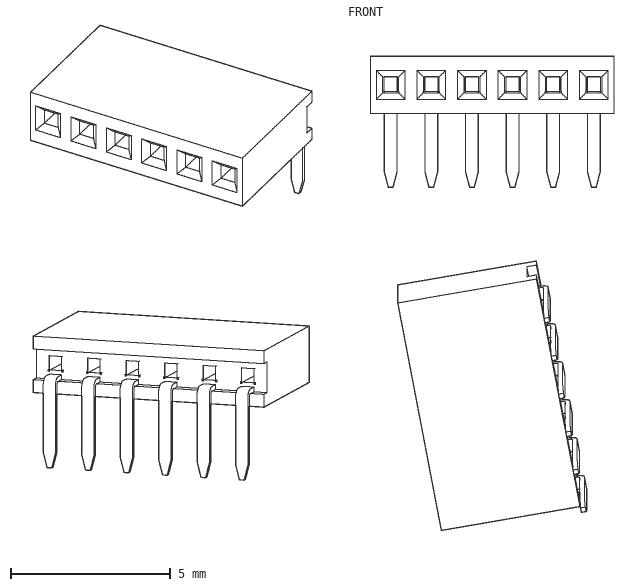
import cadquery as cq

CONTACT_COUNT = 6
LENGTH = 7.62
PITCH = LENGTH / CONTACT_COUNT
CONTACT_X = [(i - (CONTACT_COUNT - 1) / 2) * PITCH for i in range(CONTACT_COUNT)]

DEPTH = 4.405
HEIGHT = 1.8
NOTCH_DEPTH = 0.305
LEDGE_HEIGHT = 0.41
NOTCH_Y = DEPTH - NOTCH_DEPTH

MOUTH_SIZE = 0.9
THROAT_SIZE = 0.495
FUNNEL_DEPTH = (MOUTH_SIZE - THROAT_SIZE) / 2
SOCKET_Z = HEIGHT / 2
THROAT_BOTTOM_Z = SOCKET_Z - THROAT_SIZE / 2

LIP_RISE = 0.045
RAMP_LENGTH = 0.1
LIP_GAP = 0.01
SIDE_LIP_BASE = LIP_RISE + LIP_GAP

PIN_WIDTH = 0.405
PIN_THICKNESS = 0.15
PIN_BACK_Y = 4.7
PIN_DROP = 4.1
PIN_TIP_Z = HEIGHT - PIN_DROP
PIN_TOP_Z = LEDGE_HEIGHT + PIN_THICKNESS
BEND_OUTER_RADIUS = 0.25
TIP_LENGTH = 0.48
TIP_WIDTH = 0.15


def make_socket(x):
    """Funnel and straight passage of one socket, as a cutting tool."""
    funnel = (
        cq.Workplane("XZ", origin=(x, 0, SOCKET_Z))
        .rect(MOUTH_SIZE, MOUTH_SIZE)
        .workplane(offset=-FUNNEL_DEPTH)
        .rect(THROAT_SIZE, THROAT_SIZE)
        .loft(ruled=True)
    )
    passage = (
        cq.Workplane("XZ", origin=(x, 0, SOCKET_Z))
        .rect(THROAT_SIZE, THROAT_SIZE)
        .extrude(-NOTCH_Y)
    )
    return funnel.union(passage)


def make_floor_lip(x):
    """Wedge on the passage floor, rising towards the back and clear of the side walls."""
    return (
        cq.Workplane("YZ", origin=(x, 0, 0))
        .moveTo(NOTCH_Y - RAMP_LENGTH, THROAT_BOTTOM_Z)
        .lineTo(NOTCH_Y, THROAT_BOTTOM_Z)
        .lineTo(NOTCH_Y, THROAT_BOTTOM_Z + LIP_RISE)
        .close()
        .extrude(THROAT_SIZE / 2 - LIP_RISE, both=True)
    )


def make_side_lip(x, side):
    """Wedge on one passage side wall (side is -1 or +1), from just above the floor lip up."""
    wall_x = x + side * THROAT_SIZE / 2
    return (
        cq.Workplane("XY", origin=(0, 0, THROAT_BOTTOM_Z + SIDE_LIP_BASE))
        .moveTo(wall_x, NOTCH_Y - RAMP_LENGTH)
        .lineTo(wall_x, NOTCH_Y)
        .lineTo(wall_x - side * LIP_RISE, NOTCH_Y)
        .close()
        .extrude(THROAT_SIZE - SIDE_LIP_BASE)
    )


def make_housing():
    """Block with a notch along its back and one lipped socket per contact."""
    block = cq.Workplane("XY").box(LENGTH, DEPTH, HEIGHT, centered=(True, False, False))
    notch = (
        cq.Workplane("XY", origin=(0, NOTCH_Y, LEDGE_HEIGHT))
        .box(LENGTH, NOTCH_DEPTH, HEIGHT - 2 * LEDGE_HEIGHT, centered=(True, False, False))
    )
    housing = block.cut(notch)
    for x in CONTACT_X:
        housing = housing.cut(make_socket(x))
        housing = housing.union(make_floor_lip(x))
        for side in (-1, 1):
            housing = housing.union(make_side_lip(x, side))
    return housing


def make_pin(x):
    """Bent strip from the notch wall down to a tapered tip."""
    inner_y = PIN_BACK_Y - PIN_THICKNESS
    strip = (
        cq.Workplane("YZ", origin=(x, 0, 0))
        .moveTo(NOTCH_Y, LEDGE_HEIGHT)
        .lineTo(inner_y, LEDGE_HEIGHT)
        .lineTo(inner_y, PIN_TIP_Z)
        .lineTo(PIN_BACK_Y, PIN_TIP_Z)
        .lineTo(PIN_BACK_Y, PIN_TOP_Z)
        .lineTo(NOTCH_Y, PIN_TOP_Z)
        .close()
        .extrude(PIN_WIDTH / 2, both=True)
    )
    outer_corner = cq.NearestToPointSelector((x, PIN_BACK_Y, PIN_TOP_Z))
    strip = strip.edges(outer_corner).fillet(BEND_OUTER_RADIUS)
    inner_corner = cq.NearestToPointSelector((x, inner_y, LEDGE_HEIGHT))
    strip = strip.edges(inner_corner).fillet(BEND_OUTER_RADIUS - PIN_THICKNESS)

    outline = (
        cq.Workplane("XZ", origin=(x, PIN_BACK_Y, 0))
        .moveTo(-TIP_WIDTH / 2, PIN_TIP_Z)
        .lineTo(TIP_WIDTH / 2, PIN_TIP_Z)
        .lineTo(PIN_WIDTH / 2, PIN_TIP_Z + TIP_LENGTH)
        .lineTo(PIN_WIDTH / 2, PIN_TOP_Z)
        .lineTo(-PIN_WIDTH / 2, PIN_TOP_Z)
        .lineTo(-PIN_WIDTH / 2, PIN_TIP_Z + TIP_LENGTH)
        .close()
        .extrude(PIN_BACK_Y - NOTCH_Y)
    )
    return strip.intersect(outline)


housing = make_housing()
pins = [make_pin(x) for x in CONTACT_X]

result = cq.Compound.makeCompound([housing.val(), *[pin.val() for pin in pins]])